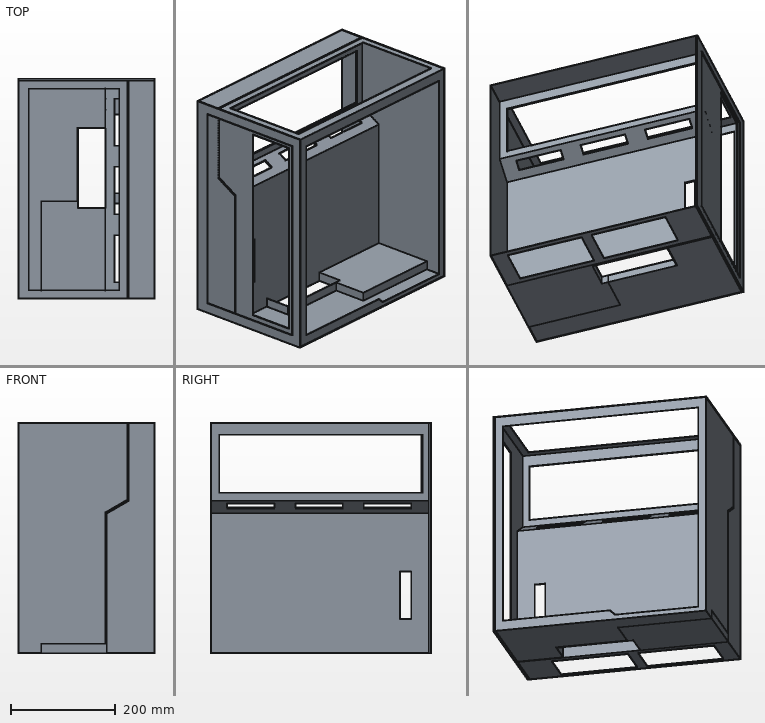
import cadquery as cq
import math

WIDTH = 260.0
DEPTH = 420.0
HEIGHT = 440.0

SHELL = 1.0
TRAY = 3.0
REAR_FRAME = 4.0
REAR_PLATE = 2.0
RIM = 1.0

INNER_DEPTH = DEPTH - REAR_FRAME
LIP = 15.0
BORDER = 20.0

OPENING_Y0 = SHELL + LIP
OPENING_Y1 = INNER_DEPTH - LIP

TRAY_LOWER_X = 166.0
TRAY_UPPER_X = 208.0
TRAY_BEND_Z = 269.0
TRAY_SLOPE = math.radians(30)
TRAY_TOP_BEND_Z = TRAY_BEND_Z + (TRAY_UPPER_X - TRAY_LOWER_X) * math.tan(TRAY_SLOPE)

ROOF_OPENING_X1 = 192.5

OPENING_TOP_Z = HEIGHT - SHELL - BORDER
SILL_Z = 10.0
SILL_LOW_Y = 180.0

REAR_OPENING_X = (30.0, 121.0)
REAR_OPENING_Z = (30.0, 412.0)
REAR_PLATE_X1 = 235.0

TRAY_WINDOW_Z = (307.0, 417.0)
TRAY_WINDOW_Y1 = 404.0
CABLE_SLOT_LENGTH = 90.0
SLOPE_SLOT_COUNT = 3
SLOPE_SLOT_START_Y = 31.0
SLOPE_SLOT_PITCH = 130.5
SLOPE_SLOT_X = (182.8, 199.5)
SIDE_SLOT_Y = (361.0, 382.0)
SIDE_SLOT_Z0 = 66.0

SHELF_X0 = 44.0
SHELF_HEIGHT = 18.0
COVER_COUNT = 8
COVER_PITCH = 20.15
COVER_START_Y = 24.5

LEFT_OPENING_X0 = 113.8
LEFT_OPENING_Y = (173.5, 325.0)
RIGHT_OPENING_LENGTH = 150.0
RIGHT_OPENING_X = (180.0, 250.0)
RIGHT_OPENING_STARTS = (31.5, 201.5)


def block(x0, x1, y0, y1, z0, z1):
    """Box spanning the given ranges."""
    return cq.Workplane("XY").box(x1 - x0, y1 - y0, z1 - z0, centered=False).translate((x0, y0, z0))


def make_interior():
    """Space enclosed by the shell walls and the rear panel."""
    return block(SHELL, WIDTH, SHELL, INNER_DEPTH, SHELL, HEIGHT - SHELL)


def make_shell():
    """Thin box, open on +X, with openings in its left side, roof and rear."""
    shell = block(0, WIDTH, 0, INNER_DEPTH, 0, HEIGHT).cut(make_interior())
    sill_drop = BORDER - SILL_Z
    left_opening = (
        cq.Workplane("YZ")
        .moveTo(OPENING_Y0, SILL_Z)
        .lineTo(SILL_LOW_Y, SILL_Z)
        .lineTo(SILL_LOW_Y + sill_drop, BORDER)
        .lineTo(OPENING_Y1, BORDER)
        .lineTo(OPENING_Y1, OPENING_TOP_Z)
        .lineTo(OPENING_Y0, OPENING_TOP_Z)
        .close()
        .extrude(SHELL)
    )
    roof_opening = block(BORDER, ROOF_OPENING_X1, OPENING_Y0, OPENING_Y1, HEIGHT - SHELL, HEIGHT)
    return shell.cut(left_opening).cut(roof_opening)


def make_rear_panel():
    """Frame closing the rear, with a thinner plate flush on its inside and one tall opening."""
    plate_range_x = (BORDER, REAR_PLATE_X1)
    plate_range_z = (BORDER, HEIGHT - BORDER)
    frame = block(0, WIDTH, INNER_DEPTH, DEPTH, 0, HEIGHT)
    frame = frame.cut(block(*plate_range_x, INNER_DEPTH, DEPTH, *plate_range_z))
    plate = block(*plate_range_x, INNER_DEPTH, INNER_DEPTH + REAR_PLATE, *plate_range_z)
    opening = block(*REAR_OPENING_X, INNER_DEPTH, DEPTH, *REAR_OPENING_Z)
    return frame.union(plate.cut(opening), clean=False)


def slope_z(x):
    """Height of the sloped face of the tray at x."""
    return TRAY_BEND_Z + (x - TRAY_LOWER_X) * math.tan(TRAY_SLOPE)


def make_slope_slots():
    """Row of slots cut square through the sloped band of the tray."""
    x0, x1 = SLOPE_SLOT_X
    dx = TRAY * math.sin(TRAY_SLOPE)
    dz = -TRAY * math.cos(TRAY_SLOPE)
    outline = [
        (x0 - dx, slope_z(x0) - dz),
        (x1 - dx, slope_z(x1) - dz),
        (x1 + 2 * dx, slope_z(x1) + 2 * dz),
        (x0 + 2 * dx, slope_z(x0) + 2 * dz),
    ]
    slot = cq.Workplane("XZ").polyline(outline).close().extrude(-CABLE_SLOT_LENGTH)
    slots = slot.translate((0, SLOPE_SLOT_START_Y, 0))
    for index in range(1, SLOPE_SLOT_COUNT):
        slots = slots.union(slot.translate((0, SLOPE_SLOT_START_Y + index * SLOPE_SLOT_PITCH, 0)))
    return slots


def make_tray():
    """Stepped sheet between the chambers, with its window, cable slots and shelf."""
    drop = TRAY * math.tan((math.pi / 2 - TRAY_SLOPE) / 2)
    outline = [
        (TRAY_LOWER_X, 0),
        (TRAY_LOWER_X, TRAY_BEND_Z),
        (TRAY_UPPER_X, TRAY_TOP_BEND_Z),
        (TRAY_UPPER_X, HEIGHT),
        (TRAY_UPPER_X + TRAY, HEIGHT),
        (TRAY_UPPER_X + TRAY, TRAY_TOP_BEND_Z - drop),
        (TRAY_LOWER_X + TRAY, TRAY_BEND_Z - drop),
        (TRAY_LOWER_X + TRAY, 0),
    ]
    tray = cq.Workplane("XZ").polyline(outline).close().extrude(-INNER_DEPTH)
    window = block(TRAY_UPPER_X, TRAY_UPPER_X + TRAY, OPENING_Y0, TRAY_WINDOW_Y1, *TRAY_WINDOW_Z)
    side_slot = block(
        TRAY_LOWER_X, TRAY_LOWER_X + TRAY, *SIDE_SLOT_Y, SIDE_SLOT_Z0, SIDE_SLOT_Z0 + CABLE_SLOT_LENGTH
    )
    tray = tray.cut(window).cut(side_slot).cut(make_slope_slots())
    tray = tray.union(block(SHELF_X0, TRAY_LOWER_X, 0, COVER_START_Y, 0, SHELF_HEIGHT))
    for index in range(COVER_COUNT):
        y0 = COVER_START_Y + index * COVER_PITCH
        cover = block(SHELF_X0, TRAY_LOWER_X, y0, y0 + COVER_PITCH, 0, SHELF_HEIGHT)
        tray = tray.union(cover, clean=False)
    return tray


def make_rim():
    """Block that the left floor opening hollows out into an upright collar."""
    y0, y1 = LEFT_OPENING_Y
    return block(LEFT_OPENING_X0 - RIM, TRAY_LOWER_X, y0, y1 + RIM, 0, SHELF_HEIGHT)


def make_floor_openings():
    """One opening in the left chamber and two in the right chamber."""
    openings = block(LEFT_OPENING_X0, TRAY_LOWER_X, *LEFT_OPENING_Y, 0, SHELF_HEIGHT)
    for y0 in RIGHT_OPENING_STARTS:
        openings = openings.union(block(*RIGHT_OPENING_X, y0, y0 + RIGHT_OPENING_LENGTH, 0, SHELL))
    return openings


result = make_shell()
for body in (make_tray(), make_rim(), make_rear_panel()):
    result = result.union(body, clean=False)
result = result.cut(make_floor_openings(), clean=False)